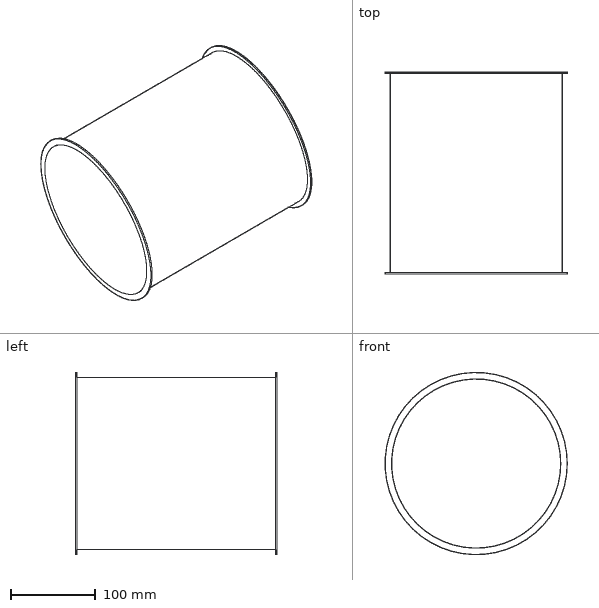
import cadquery as cq

length = 238.0
bore_diameter = 199.0
tube_diameter = 203.0
flange_diameter = 215.0
flange_thickness = 2.0


def cylinder_along_y(diameter, start, depth):
    """Solid cylinder on the Y axis, from y = start to y = start + depth."""
    base = cq.Workplane("XZ", origin=(0, start, 0))
    return base.circle(diameter / 2).extrude(-depth)


tube = cylinder_along_y(tube_diameter, -length / 2, length)
for flange_start in (-length / 2, length / 2 - flange_thickness):
    tube = tube.union(cylinder_along_y(flange_diameter, flange_start, flange_thickness))

bore = cylinder_along_y(bore_diameter, -length / 2, length)
result = tube.cut(bore)